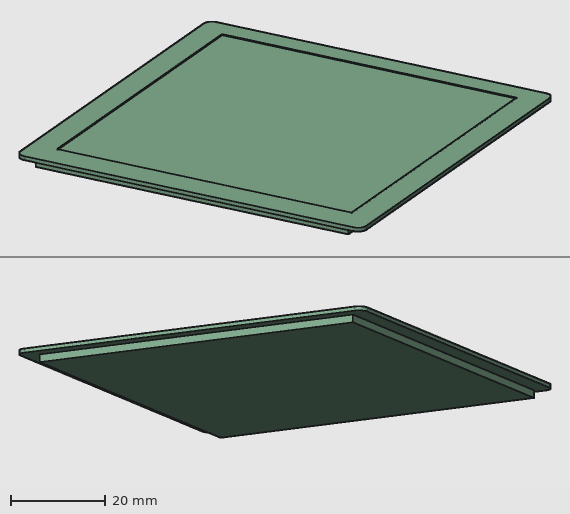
import cadquery as cq

plate_side = 84.0
plate_thickness = 0.9
corner_radius = 2.0

overall_height = 2.6
block_thickness = overall_height - plate_thickness
block_side_margin = 4.0
block_front_margin = 1.4
block_back_margin = 3.0
block_width = plate_side - 2 * block_side_margin
block_length = plate_side - block_front_margin - block_back_margin
block_center_y = (block_front_margin - block_back_margin) / 2

recess_width = 71.5
recess_front_margin = 6.8
recess_back_margin = 5.2
recess_depth = 0.25
recess_length = plate_side - recess_front_margin - recess_back_margin
recess_center_y = (recess_front_margin - recess_back_margin) / 2


def box_below(width, length, height, top_z, center_y=0.0):
    """Rectangular box that hangs down from top_z, centred on X = 0."""
    return (
        cq.Workplane("XY")
        .workplane(offset=top_z)
        .center(0, center_y)
        .rect(width, length)
        .extrude(-height)
    )


plate = box_below(plate_side, plate_side, plate_thickness, 0).edges("|Z").fillet(corner_radius)
block = box_below(block_width, block_length, block_thickness, -plate_thickness, block_center_y)
recess = box_below(recess_width, recess_length, recess_depth, 0, recess_center_y)

result = plate.union(block).cut(recess)